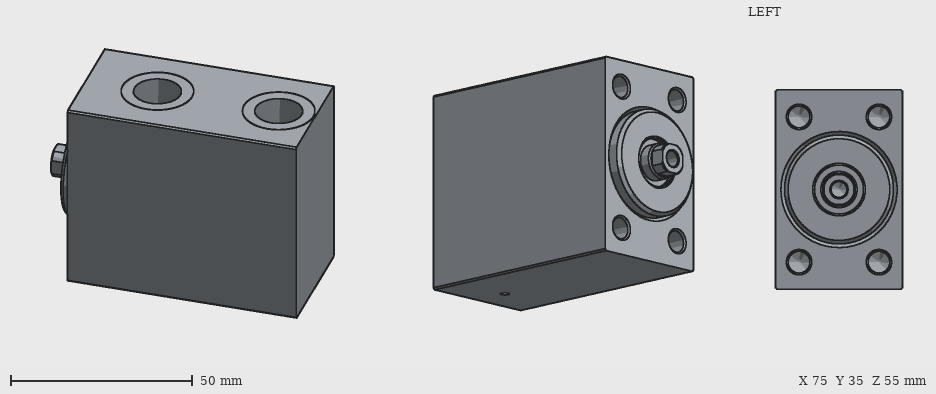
import cadquery as cq
import math

block_length = 66.0
block_width = 35.0
block_height = 55.0
edge_chamfer = 0.5

port_positions = (20.5, 55.5)
port_diameter = 13.2
port_depth = 12.0
spotface_diameter = 20.0
spotface_depth = 0.1
passage_diameter = 2.5

mount_spacing_y = 22.0
mount_spacing_z = 40.0
mount_diameter = 6.0
mount_mouth_diameter = 7.0
mount_depth = 15.0
drill_point_angle = 118.0

gland_diameter = 30.0
gland_protrusion = 3.0
gland_depth = 15.0
gland_chamfer = 1.0
gland_seat_mouth_diameter = 32.0
recess_diameter = 13.5
recess_depth = 1.5
recess_step_diameter = 14.5
recess_step_depth = 0.5

rod_diameter = 10.0
rod_protrusion = 9.0
rod_end = 40.0
rod_shoulder_chamfer = 0.5
tip_length = 4.0
tip_diameter = 9.0
tip_across_flats = 8.0
tip_chamfer = 0.3
rod_hole_diameter = 4.4
rod_hole_mouth_diameter = 5.0
rod_hole_depth = 12.0

block_top = block_height / 2


def x_cylinder(diameter, start, end):
    """Cylinder on the X axis between two X positions."""
    return cq.Workplane("YZ", origin=(start, 0, 0)).circle(diameter / 2).extrude(end - start)


def x_cone(start_diameter, end_diameter, start, end):
    """Cone on the X axis, from one diameter to another, possibly to a point."""
    outline = [(start, 0), (start, start_diameter / 2), (end, end_diameter / 2), (end, 0)]
    if end_diameter == 0:
        outline.pop()
    return cq.Workplane("XY").polyline(outline).close().revolve(360, (0, 0, 0), (1, 0, 0))


def countersink(mouth_diameter, hole_diameter, face):
    """45 degree mouth of a hole that enters a face in the +X direction."""
    return x_cone(mouth_diameter, hole_diameter, face, face + (mouth_diameter - hole_diameter) / 2)


def drilled_hole(diameter, face, depth):
    """Blind hole in the +X direction with a conical drill point."""
    point_length = diameter / 2 / math.tan(math.radians(drill_point_angle / 2))
    bottom = face + depth
    return x_cylinder(diameter, face, bottom).union(x_cone(diameter, 0, bottom, bottom + point_length))


def top_hole(x, diameter, depth):
    """Vertical hole sunk from the top face of the block."""
    return cq.Workplane("XY", origin=(x, 0, block_top - depth)).circle(diameter / 2).extrude(depth)


def make_block():
    body = cq.Workplane("XY").box(block_length, block_width, block_height, centered=(False, True, True))
    body = body.edges("|X").chamfer(edge_chamfer)

    for x in port_positions:
        body = body.cut(top_hole(x, spotface_diameter, spotface_depth))
        body = body.cut(top_hole(x, port_diameter, port_depth))
    front_port_x, rear_port_x = port_positions
    body = body.cut(top_hole(front_port_x, passage_diameter, block_top))
    body = body.cut(top_hole(rear_port_x, passage_diameter, block_height))

    mount_hole = drilled_hole(mount_diameter, 0, mount_depth)
    mount_hole = mount_hole.union(countersink(mount_mouth_diameter, mount_diameter, 0))
    for side_y in (-1, 1):
        for side_z in (-1, 1):
            place = (0, side_y * mount_spacing_y / 2, side_z * mount_spacing_z / 2)
            body = body.cut(mount_hole.translate(place))

    body = body.cut(x_cylinder(gland_diameter, 0, gland_depth))
    body = body.cut(countersink(gland_seat_mouth_diameter, gland_diameter, 0))
    return body.cut(x_cylinder(rod_diameter, gland_depth, rod_end))


def make_gland():
    front = -gland_protrusion
    body = x_cylinder(gland_diameter, front, gland_depth).faces("<X").chamfer(gland_chamfer)
    body = body.cut(x_cylinder(recess_diameter, front, front + recess_depth))
    body = body.cut(x_cylinder(recess_step_diameter, front, front + recess_step_depth))
    return body.cut(x_cylinder(rod_diameter, front, gland_depth))


def make_rod():
    front = -rod_protrusion
    shoulder = front + tip_length
    shank = x_cylinder(rod_diameter, shoulder, rod_end).faces("<X").chamfer(rod_shoulder_chamfer)
    tip = x_cylinder(tip_diameter, front, shoulder).faces("<X").chamfer(tip_chamfer)
    flats = cq.Workplane("YZ", origin=(front, 0, 0)).rect(tip_across_flats, tip_across_flats)
    tip = tip.intersect(flats.extrude(tip_length))
    body = shank.union(tip)
    body = body.cut(countersink(rod_hole_mouth_diameter, rod_hole_diameter, front))
    return body.cut(drilled_hole(rod_hole_diameter, front, rod_hole_depth))


block = make_block()
gland = make_gland()
rod = make_rod()

result = cq.Compound.makeCompound([block.val(), gland.val(), rod.val()])